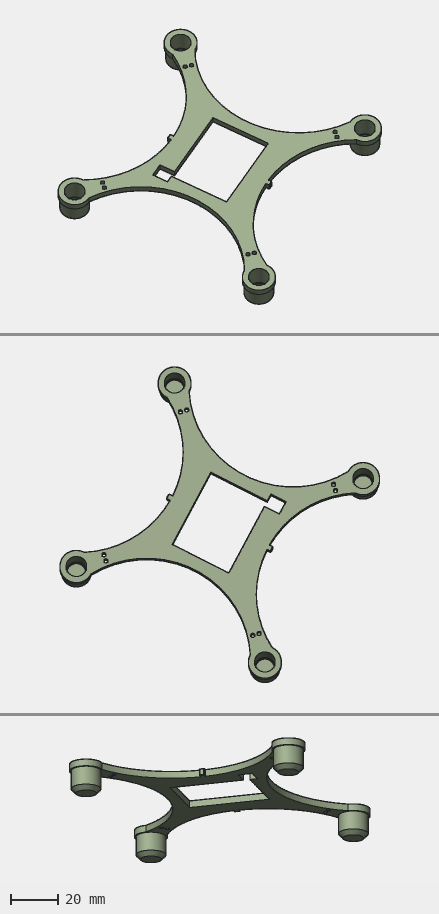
import cadquery as cq

span = 104.0
total_height = 13.0
plate_thickness = 3.0

pad_diameter = 14.0
pod_diameter = 12.7
bore_diameter = 8.7
pod_taper = (pod_diameter - bore_diameter) / 2
bore_depth = 10.0
recess_diameter = 7.9
pod_floor = 1.6
pod_offset = (span - pad_diameter) / 2

waist = 23.1
arc_end_along = 38.2
arc_end_out = 45.2

window_width = 26.9
window_length = 35.3
notch_left = -20.6
notch_top = -15.0
notch_bottom = -21.0

tab_reach = 25.0
tab_width = 2.2
tab_chamfer = 0.3

wire_hole_diameter = 1.8
wire_hole_near = 35.0
wire_hole_far = 37.0

corners = [(sx * pod_offset, sy * pod_offset) for sx in (-1, 1) for sy in (-1, 1)]


def disc_at_corners(bottom, height, diameter):
    return cq.Workplane("XY", origin=(0, 0, bottom)).pushPoints(corners).circle(diameter / 2).extrude(height)


def make_frame():
    """X-shaped plate with four concave arc sides, round pads and side tabs."""
    a, b = arc_end_along, arc_end_out
    outline = (
        cq.Workplane("XY", origin=(0, 0, -plate_thickness))
        .moveTo(-a, b)
        .threePointArc((0, waist), (a, b))
        .lineTo(b, a)
        .threePointArc((waist, 0), (b, -a))
        .lineTo(a, -b)
        .threePointArc((0, -waist), (-a, -b))
        .lineTo(-b, -a)
        .threePointArc((-waist, 0), (-b, a))
        .close()
    )
    frame = outline.extrude(plate_thickness)
    tabs = cq.Workplane("XY", origin=(0, 0, -plate_thickness)).rect(2 * tab_reach, tab_width)
    tabs = tabs.extrude(plate_thickness).faces("<X or >X").chamfer(tab_chamfer)
    pads = disc_at_corners(-plate_thickness, plate_thickness, pad_diameter)
    return frame.union(tabs).union(pads)


def make_pods():
    """Cylindrical pods whose lower ends taper at 45 degrees."""
    return disc_at_corners(-total_height, total_height, pod_diameter).faces("<Z").chamfer(pod_taper)


def make_bores():
    """Blind bores with a slightly narrower recess below a small ledge."""
    recess_depth = total_height - pod_floor
    bores = disc_at_corners(-bore_depth, bore_depth, bore_diameter)
    return bores.union(disc_at_corners(-recess_depth, recess_depth, recess_diameter))


def make_window():
    half_width = window_width / 2
    window = cq.Workplane("XY").rect(window_width, window_length).extrude(-plate_thickness)
    notch = (
        cq.Workplane("XY")
        .moveTo(notch_left, notch_bottom)
        .lineTo(-half_width, notch_bottom)
        .lineTo(-half_width, notch_top)
        .lineTo(notch_left, notch_top)
        .close()
        .extrude(-plate_thickness)
    )
    return window.union(notch)


def make_wire_holes():
    points = []
    for sx in (-1, 1):
        for sy in (-1, 1):
            points.append((sx * wire_hole_near, sy * wire_hole_far))
            points.append((sx * wire_hole_far, sy * wire_hole_near))
    return cq.Workplane("XY").pushPoints(points).circle(wire_hole_diameter / 2).extrude(-plate_thickness)


result = make_frame().union(make_pods()).cut(make_bores()).cut(make_window()).cut(make_wire_holes())